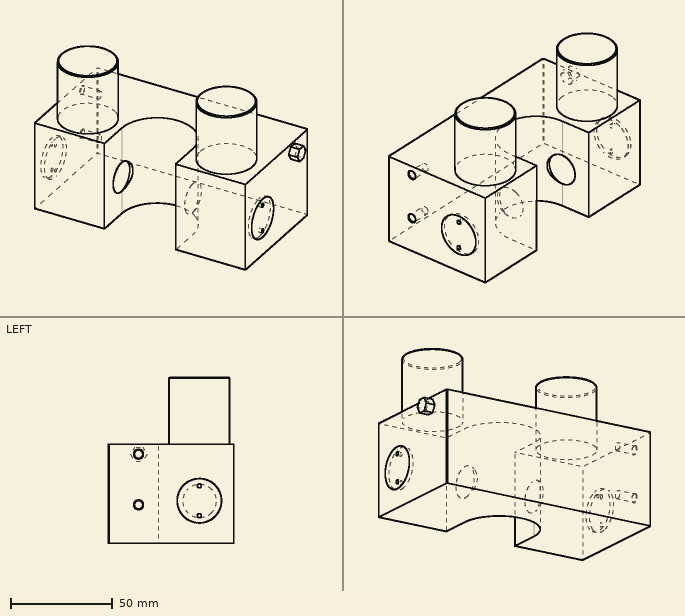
import cadquery as cq
import math

block_length = 120.0
block_width = 62.0
block_height = 49.0
back_edge_chamfer = 0.4
half_length = block_length / 2

throat_radius = 20.2
axis_y = 17.0

tower_diameter = 30.0
tower_height = 33.0
tower_spacing = 78.8
tower_chamfer = 0.6

piston_z = 21.0
piston_diameter = 16.5
piston_recess = 0.1
cover_bore_diameter = 22.0
cover_diameter = 21.8
cover_gap_depth = 2.0
pin_hole_diameter = 2.0
pin_hole_spacing = 14.7
pin_hole_depth = 2.0
drill_point_angle = 118.0

port_back_inset = 15.0
port_top_inset = 5.0
port_spacing = 25.0
port_y = block_width - port_back_inset
upper_port_z = block_height - port_top_inset
lower_port_z = upper_port_z - port_spacing
port_diameter = 4.13
port_mouth_diameter = 4.8
port_depth = 10.0

plug_across_flats = 7.0
plug_length = 5.0


def cylinder_along_x(diameter, x_start, x_end, y, z):
    """Solid cylinder parallel to X between two X positions."""
    return cq.Workplane("YZ", origin=(x_start, y, z)).circle(diameter / 2).extrude(x_end - x_start)


def make_block():
    block = cq.Workplane("XY").box(
        block_length, block_width, block_height, centered=(True, False, False)
    )
    block = block.faces(">Y").edges("|Z").chamfer(back_edge_chamfer)
    throat = (
        cq.Workplane("XY")
        .moveTo(-throat_radius, 0)
        .lineTo(-throat_radius, axis_y)
        .threePointArc((0, axis_y + throat_radius), (throat_radius, axis_y))
        .lineTo(throat_radius, 0)
        .close()
        .extrude(block_height)
    )
    return block.cut(throat)


def make_towers():
    return (
        cq.Workplane("XY", origin=(0, axis_y, block_height))
        .pushPoints([(-tower_spacing / 2, 0), (tower_spacing / 2, 0)])
        .circle(tower_diameter / 2)
        .extrude(tower_height)
        .faces(">Z")
        .edges()
        .chamfer(tower_chamfer)
    )


def make_piston_recesses():
    """Bore that leaves both piston faces just behind the throat walls."""
    face_x = throat_radius + piston_recess
    return cylinder_along_x(piston_diameter, -face_x, face_x, axis_y, piston_z)


def make_drill_point(side, base_x, z):
    """Conical bottom of a pin hole, pointing into the block."""
    radius = pin_hole_diameter / 2
    height = radius / math.tan(math.radians(drill_point_angle / 2))
    return cq.Workplane(
        cq.Solid.makeCone(radius, 0, height, cq.Vector(base_x, axis_y, z), cq.Vector(-side, 0, 0))
    )


def make_cover_cut(side):
    """Annular gap and two drilled pin holes of the cover on one end (side is -1 or 1)."""
    end_x = side * half_length
    gap_x = side * (half_length - cover_gap_depth)
    gap = cylinder_along_x(cover_bore_diameter, end_x, gap_x, axis_y, piston_z)
    cover_cut = gap.cut(cylinder_along_x(cover_diameter, end_x, gap_x, axis_y, piston_z))
    pin_x = side * (half_length - pin_hole_depth)
    for offset in (-pin_hole_spacing / 2, pin_hole_spacing / 2):
        pin_hole = cylinder_along_x(pin_hole_diameter, end_x, pin_x, axis_y, piston_z + offset)
        drill_point = make_drill_point(side, pin_x, piston_z + offset)
        cover_cut = cover_cut.union(pin_hole).union(drill_point)
    return cover_cut


def make_port(z):
    """Blind port with a 45 degree countersunk mouth, revolved about its own axis."""
    mouth_radius = port_mouth_diameter / 2
    bore_radius = port_diameter / 2
    mouth_depth = mouth_radius - bore_radius
    return (
        cq.Workplane("XY", origin=(-half_length, port_y, z))
        .polyline([
            (0, 0),
            (0, mouth_radius),
            (mouth_depth, bore_radius),
            (port_depth, bore_radius),
            (port_depth, 0),
        ])
        .close()
        .revolve(360, (0, 0, 0), (1, 0, 0))
    )


def make_plug():
    """Hexagon with two of its flats facing up and down."""
    across_corners = plug_across_flats / math.cos(math.pi / 6)
    return (
        cq.Workplane("YZ", origin=(half_length, port_y, upper_port_z))
        .polygon(6, across_corners)
        .extrude(plug_length)
    )


result = make_block().cut(make_piston_recesses())
for end_side in (-1, 1):
    result = result.cut(make_cover_cut(end_side))
for port_z in (lower_port_z, upper_port_z):
    result = result.cut(make_port(port_z))
result = result.union(make_towers()).union(make_plug())